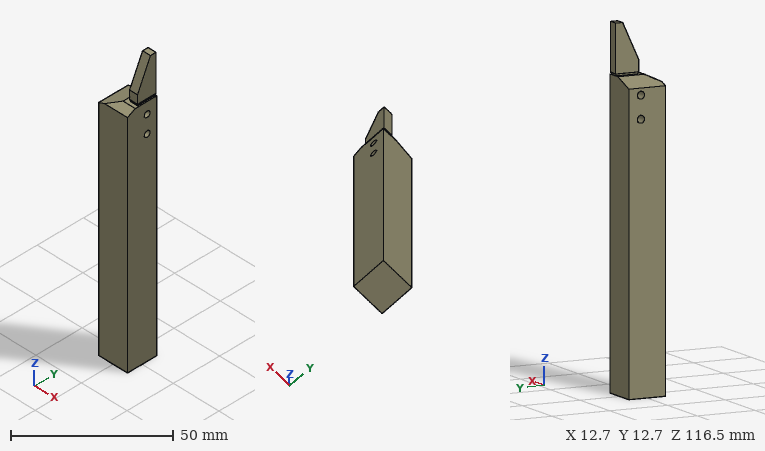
import cadquery as cq
import math

OVERALL_HEIGHT = 116.5
SHANK_SIDE = 12.7
SHANK_HEIGHT = 100.0

SIDE_SLOPE_RUN = 7.3
SIDE_SLOPE_ANGLE = 20.0
FRONT_SLOPE_RUN = 3.4
FRONT_SLOPE_ANGLE = 27.0

HOLE_DIAMETER = 2.5
HOLE_FROM_BACK = 4.2
UPPER_HOLE_Z = 95.1
HOLE_SPACING = 7.6
HOLE_COUNT = 2

BLADE_THICKNESS = 3.5
BLADE_SIDE_GAP = 0.3
BLADE_DEPTH = 8.0
BLADE_TIP_DEPTH = 2.5
BLADE_SHOULDER_Z = 104.4
NECK_HEIGHT = 0.6
NECK_INSET = 0.17


def make_side_slope():
    """Wedge removed along the -X side of the shank top."""
    drop = SIDE_SLOPE_RUN * math.tan(math.radians(SIDE_SLOPE_ANGLE))
    return (
        cq.Workplane("XZ")
        .moveTo(0, SHANK_HEIGHT)
        .lineTo(SIDE_SLOPE_RUN, SHANK_HEIGHT)
        .lineTo(0, SHANK_HEIGHT - drop)
        .close()
        .extrude(-SHANK_SIDE)
    )


def make_front_slope():
    """Wedge removed along the -Y side of the shank top."""
    drop = FRONT_SLOPE_RUN * math.tan(math.radians(FRONT_SLOPE_ANGLE))
    return (
        cq.Workplane("YZ")
        .moveTo(0, SHANK_HEIGHT)
        .lineTo(FRONT_SLOPE_RUN, SHANK_HEIGHT)
        .lineTo(0, SHANK_HEIGHT - drop)
        .close()
        .extrude(SHANK_SIDE)
    )


def make_cross_holes():
    """Row of cylinders that cut the through holes."""
    centres = [
        (SHANK_SIDE - HOLE_FROM_BACK, UPPER_HOLE_Z - index * HOLE_SPACING)
        for index in range(HOLE_COUNT)
    ]
    return cq.Workplane("YZ").pushPoints(centres).circle(HOLE_DIAMETER / 2).extrude(SHANK_SIDE)


def make_shank():
    block = cq.Workplane("XY").box(SHANK_SIDE, SHANK_SIDE, SHANK_HEIGHT, centered=False)
    return block.cut(make_side_slope()).cut(make_front_slope()).cut(make_cross_holes())


def make_blade():
    """Tapered blade on a short neck that is inset all round."""
    blade_x = SHANK_SIDE - BLADE_SIDE_GAP - BLADE_THICKNESS
    blade_front = SHANK_SIDE - BLADE_DEPTH
    blade_base_z = SHANK_HEIGHT + NECK_HEIGHT
    blade = (
        cq.Workplane("YZ", origin=(blade_x, 0, 0))
        .moveTo(SHANK_SIDE, blade_base_z)
        .lineTo(SHANK_SIDE, OVERALL_HEIGHT)
        .lineTo(SHANK_SIDE - BLADE_TIP_DEPTH, OVERALL_HEIGHT)
        .lineTo(blade_front, BLADE_SHOULDER_Z)
        .lineTo(blade_front, blade_base_z)
        .close()
        .extrude(BLADE_THICKNESS)
    )
    neck = cq.Workplane("XY").box(
        BLADE_THICKNESS - 2 * NECK_INSET,
        BLADE_DEPTH - 2 * NECK_INSET,
        NECK_HEIGHT,
        centered=False,
    ).translate((blade_x + NECK_INSET, blade_front + NECK_INSET, SHANK_HEIGHT))
    return blade.union(neck)


shank = make_shank()
blade = make_blade()
result = cq.Compound.makeCompound([shank.val(), blade.val()])